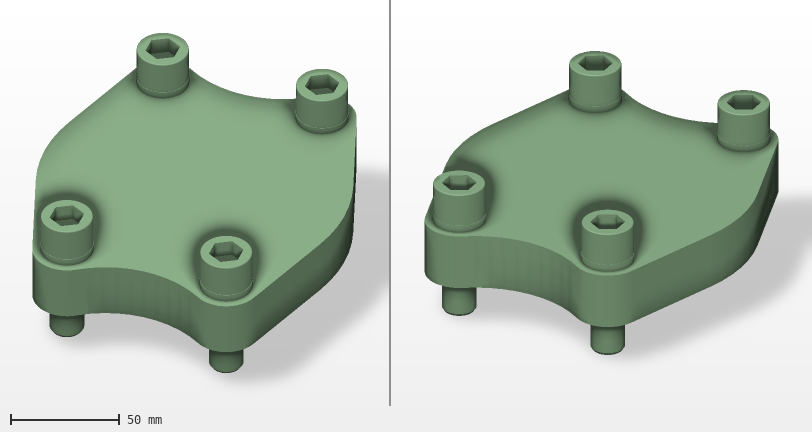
import cadquery as cq
import math

PLATE_WIDTH = 146.0
PLATE_LENGTH = 162.0
PLATE_THICKNESS = 27.0
SIDE_RADIUS = PLATE_WIDTH / 2
WAIST_RADIUS = 52.0

BOLT_SPACING_X = 77.8
BOLT_SPACING_Y = 130.2
BOLT_X = BOLT_SPACING_X / 2
BOLT_Y = BOLT_SPACING_Y / 2
LOBE_RADIUS = PLATE_LENGTH / 2 - BOLT_Y

SHANK_DIAMETER = 16.0
SHANK_LENGTH = 50.0
TIP_CHAMFER_WIDTH = 1.0
TIP_CHAMFER_HEIGHT = 1.5
HEAD_DIAMETER = 24.0
HEAD_HEIGHT = SHANK_DIAMETER
HEAD_EDGE_FILLET = 0.6
SOCKET_ACROSS_FLATS = 14.0
SOCKET_DEPTH = 8.0
WASHER_DIAMETER = 24.4
WASHER_THICKNESS = 3.5


def make_plate():
    """Flange plate: bulging sides, straight flanks, round lobes and concave ends, all tangent."""
    lobe_distance = math.hypot(BOLT_X, BOLT_Y)
    lobe_angle = math.atan2(BOLT_Y, BOLT_X)
    flank_angle = lobe_angle - math.acos((SIDE_RADIUS - LOBE_RADIUS) / lobe_distance)
    normal_x = math.cos(flank_angle)
    normal_y = math.sin(flank_angle)
    side_x = SIDE_RADIUS * normal_x
    side_y = SIDE_RADIUS * normal_y
    flank_x = BOLT_X + LOBE_RADIUS * normal_x
    flank_y = BOLT_Y + LOBE_RADIUS * normal_y

    center_distance = WAIST_RADIUS + LOBE_RADIUS
    center_rise = math.sqrt(center_distance**2 - BOLT_X**2)
    waist_bottom_y = BOLT_Y + center_rise - WAIST_RADIUS
    waist_x = BOLT_X - LOBE_RADIUS * BOLT_X / center_distance
    waist_y = BOLT_Y + LOBE_RADIUS * center_rise / center_distance
    lobe_top_y = BOLT_Y + LOBE_RADIUS

    return (
        cq.Workplane("XY")
        .moveTo(side_x, -side_y)
        .threePointArc((SIDE_RADIUS, 0), (side_x, side_y))
        .lineTo(flank_x, flank_y)
        .threePointArc((BOLT_X, lobe_top_y), (waist_x, waist_y))
        .threePointArc((0, waist_bottom_y), (-waist_x, waist_y))
        .threePointArc((-BOLT_X, lobe_top_y), (-flank_x, flank_y))
        .lineTo(-side_x, side_y)
        .threePointArc((-SIDE_RADIUS, 0), (-side_x, -side_y))
        .lineTo(-flank_x, -flank_y)
        .threePointArc((-BOLT_X, -lobe_top_y), (-waist_x, -waist_y))
        .threePointArc((0, -waist_bottom_y), (waist_x, -waist_y))
        .threePointArc((BOLT_X, -lobe_top_y), (flank_x, -flank_y))
        .close()
        .extrude(PLATE_THICKNESS)
    )


def make_bolt():
    """Cap screw with its washer; the washer rests on z = 0 and the shank points down."""
    washer = cq.Workplane("XY").circle(WASHER_DIAMETER / 2).extrude(WASHER_THICKNESS)
    head = (
        cq.Workplane("XY", origin=(0, 0, WASHER_THICKNESS))
        .circle(HEAD_DIAMETER / 2)
        .extrude(HEAD_HEIGHT)
        .faces(">Z")
        .edges()
        .fillet(HEAD_EDGE_FILLET)
    )
    shank = (
        cq.Workplane("XY", origin=(0, 0, WASHER_THICKNESS))
        .circle(SHANK_DIAMETER / 2)
        .extrude(-SHANK_LENGTH)
        .faces("<Z")
        .chamfer(TIP_CHAMFER_HEIGHT, TIP_CHAMFER_WIDTH)
    )
    socket_across_corners = SOCKET_ACROSS_FLATS / math.cos(math.pi / 6)
    socket = (
        cq.Workplane("XY", origin=(0, 0, WASHER_THICKNESS + HEAD_HEIGHT))
        .polygon(6, socket_across_corners)
        .extrude(-SOCKET_DEPTH)
        .rotate((0, 0, 0), (0, 0, 1), 90)
    )
    return washer.union(head).union(shank).cut(socket)


result = make_plate()
bolt = make_bolt()
for x in (-BOLT_X, BOLT_X):
    for y in (-BOLT_Y, BOLT_Y):
        result = result.union(bolt.translate((x, y, PLATE_THICKNESS)))